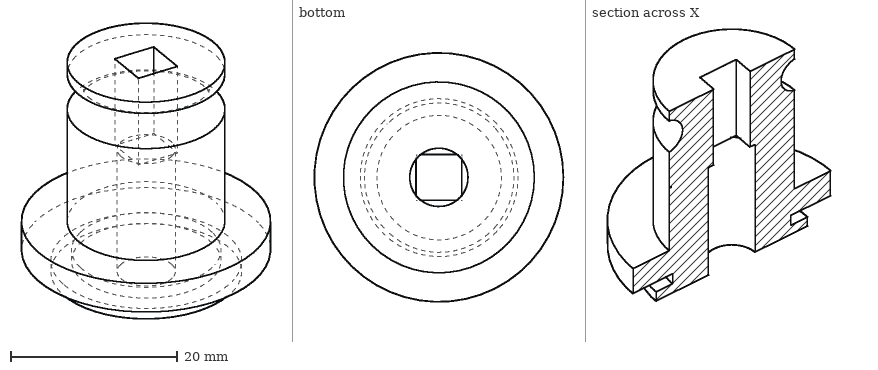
import cadquery as cq

total_height = 29.0
lip_top = 1.5
flange_bottom = 3.0
flange_top = 7.0
groove_center_height = 25.0

flange_radius = 15.0
body_radius = 9.5
neck_radius = 9.0
lip_radius = 11.5

groove_radius = 2.5
groove_floor_radius = 7.5

socket_width = 5.5
socket_depth = 12.0
bore_radius = 3.5


def disc(radius, bottom, top):
    return cq.Workplane("XY").workplane(offset=bottom).circle(radius).extrude(top - bottom)


body = disc(lip_radius, 0, lip_top)
body = body.union(disc(neck_radius, lip_top, flange_bottom))
body = body.union(disc(flange_radius, flange_bottom, flange_top))
body = body.union(disc(body_radius, flange_top, total_height))

groove = cq.Solid.makeTorus(
    groove_floor_radius + groove_radius,
    groove_radius,
    cq.Vector(0, 0, groove_center_height),
)

socket_floor = total_height - socket_depth
socket = (
    cq.Workplane("XY")
    .workplane(offset=socket_floor)
    .rect(socket_width, socket_width)
    .extrude(socket_depth)
)
bore = disc(bore_radius, 0, socket_floor)

result = body.cut(cq.Workplane(groove)).cut(socket).cut(bore)